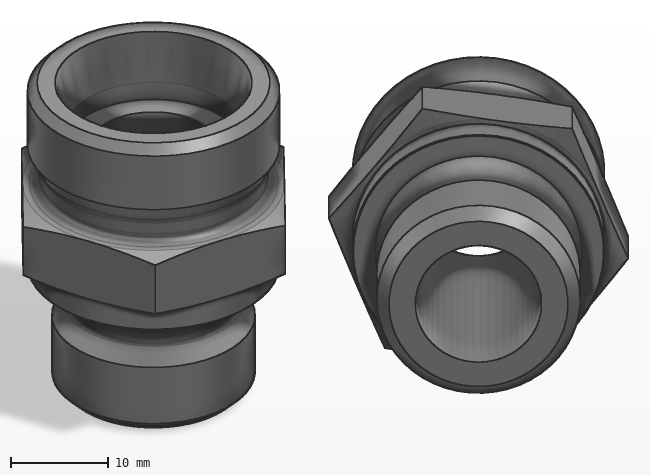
import cadquery as cq
import math

total_length = 36.0
bore_diameter = 13.0

lower_thread_diameter = 20.95
lower_end_chamfer = 1.25
lower_thread_top = 8.03

groove_radius = 1.22
groove_lower_angle = math.radians(30)
groove_upper_angle = math.radians(24)
groove_tangent_height = 9.95

collar_diameter = 26.0
collar_bottom = 14.05
collar_chamfer = 0.1
hex_across_flats = 27.0
hex_bottom = 17.03
hex_top = 23.98
hex_chamfer_angle = math.radians(15)

neck_diameter = 23.7
neck_round = 0.97
upper_thread_diameter = 26.0
upper_thread_bottom = 28.55
upper_end_chamfer = 1.0
runout_angle = math.radians(30)

socket_diameter = 18.0
socket_depth = 7.5
taper_depth = 5.4
taper_angle = math.radians(12)


def make_turned_body():
    """Revolve the outer profile, apart from the hexagon."""
    lower_radius = lower_thread_diameter / 2
    collar_radius = collar_diameter / 2
    neck_radius = neck_diameter / 2
    upper_radius = upper_thread_diameter / 2

    cone_rise = groove_tangent_height - lower_thread_top
    groove_start_radius = lower_radius - cone_rise * math.tan(groove_lower_angle)
    center_radius = groove_start_radius + groove_radius * math.cos(groove_lower_angle)
    center_height = groove_tangent_height + groove_radius * math.sin(groove_lower_angle)
    groove_end_radius = center_radius - groove_radius * math.cos(groove_upper_angle)
    groove_end_height = center_height + groove_radius * math.sin(groove_upper_angle)
    cone_top_radius = groove_end_radius + (collar_bottom - groove_end_height) * math.tan(groove_upper_angle)

    runout_round_radius = neck_radius + neck_round * (1 - math.cos(runout_angle))
    runout_round_top = upper_thread_bottom - (upper_radius - runout_round_radius) / math.tan(runout_angle)
    runout_round_bottom = runout_round_top - neck_round * math.sin(runout_angle)
    runout_middle = (
        neck_radius + neck_round * (1 - math.cos(runout_angle / 2)),
        runout_round_bottom + neck_round * math.sin(runout_angle / 2),
    )

    diagonal = neck_round * (1 - math.sqrt(0.5))
    profile = (
        cq.Workplane("XZ")
        .lineTo(lower_radius - lower_end_chamfer, 0)
        .lineTo(lower_radius, lower_end_chamfer)
        .lineTo(lower_radius, lower_thread_top)
        .lineTo(groove_start_radius, groove_tangent_height)
        .threePointArc((center_radius - groove_radius, center_height), (groove_end_radius, groove_end_height))
        .lineTo(cone_top_radius, collar_bottom)
        .lineTo(collar_radius - collar_chamfer, collar_bottom)
        .lineTo(collar_radius, collar_bottom + collar_chamfer)
        .lineTo(collar_radius, hex_top)
        .lineTo(neck_radius + neck_round, hex_top)
        .threePointArc((neck_radius + diagonal, hex_top + diagonal), (neck_radius, hex_top + neck_round))
        .lineTo(neck_radius, runout_round_bottom)
        .threePointArc(runout_middle, (runout_round_radius, runout_round_top))
        .lineTo(upper_radius, upper_thread_bottom)
        .lineTo(upper_radius, total_length - upper_end_chamfer)
        .lineTo(upper_radius - upper_end_chamfer, total_length)
        .lineTo(0, total_length)
        .close()
    )
    return profile.revolve(360, (0, 0, 0), (0, 1, 0))


def make_hexagon():
    """Hexagon with corners on the Y axis and conical chamfers on both ends."""
    flat_radius = hex_across_flats / 2
    corner_radius = flat_radius / math.cos(math.pi / 6)
    prism = (
        cq.Workplane("XY", origin=(0, 0, hex_bottom))
        .transformed(rotate=(0, 0, 90))
        .polygon(6, 2 * corner_radius)
        .extrude(hex_top - hex_bottom)
    )
    outer_radius = 1.1 * corner_radius
    drop = (outer_radius - flat_radius) * math.tan(hex_chamfer_angle)
    envelope = (
        cq.Workplane("XZ")
        .moveTo(0, hex_bottom)
        .lineTo(flat_radius, hex_bottom)
        .lineTo(outer_radius, hex_bottom + drop)
        .lineTo(outer_radius, hex_top - drop)
        .lineTo(flat_radius, hex_top)
        .lineTo(0, hex_top)
        .close()
        .revolve(360, (0, 0, 0), (0, 1, 0))
    )
    return prism.intersect(envelope)


def make_passage():
    """Through bore opening into the tapered socket."""
    bore_radius = bore_diameter / 2
    socket_radius = socket_diameter / 2
    mouth_radius = socket_radius + taper_depth * math.tan(taper_angle)
    socket_floor = total_length - socket_depth
    profile = (
        cq.Workplane("XZ")
        .lineTo(bore_radius, 0)
        .lineTo(bore_radius, socket_floor)
        .lineTo(socket_radius, socket_floor)
        .lineTo(socket_radius, total_length - taper_depth)
        .lineTo(mouth_radius, total_length)
        .lineTo(0, total_length)
        .close()
    )
    return profile.revolve(360, (0, 0, 0), (0, 1, 0))


result = make_turned_body().union(make_hexagon()).cut(make_passage())